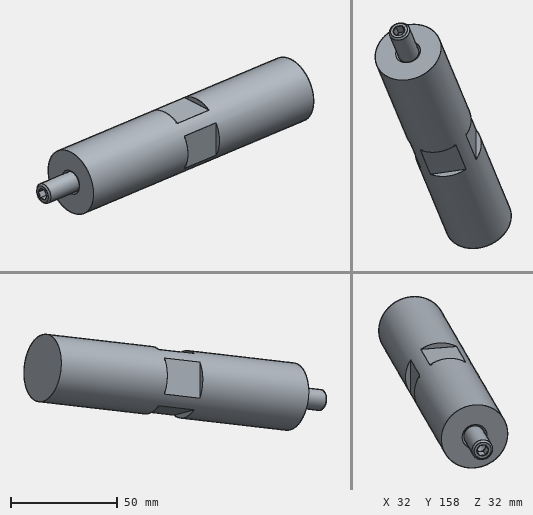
import cadquery as cq
import math

total_length = 158.0
stud_length = 18.0
body_length = total_length - stud_length
body_diameter = 32.0
flat_length = 20.0
across_flats = 27.0
stud_diameter = 10.0
stud_chamfer = 0.87
recess_diameter = 12.0
socket_across_flats = 5.0
socket_depth = 5.0
socket_mouth_diameter = 5.5
socket_corner_diameter = socket_across_flats / math.cos(math.pi / 6)
socket_tip_depth = socket_across_flats / 2 * math.tan(math.radians(30))
recess_depth = (recess_diameter - stud_diameter) / 2


def front_plane(y):
    """Plane facing -Y at the given position; extrusion goes toward -Y."""
    return cq.Workplane("XZ", origin=(0, y, 0))


def cone_along_y(base_radius, tip_radius, height, y):
    """Cone whose base lies at y and which narrows toward +Y."""
    return cq.Workplane(cq.Solid.makeCone(
        base_radius, tip_radius, height, cq.Vector(0, y, 0), cq.Vector(0, 1, 0)))


def make_body():
    body = front_plane(body_length).circle(body_diameter / 2).extrude(body_length)
    kept_square = front_plane(body_length / 2).rect(across_flats, across_flats).extrude(
        flat_length / 2, both=True)
    flat_band = front_plane(body_length / 2).rect(body_diameter * 2, body_diameter * 2).extrude(
        flat_length / 2, both=True)
    body = body.cut(flat_band.cut(kept_square))
    return body.cut(cone_along_y(recess_diameter / 2, stud_diameter / 2, recess_depth, 0))


def make_stud():
    stud = front_plane(recess_depth).circle(stud_diameter / 2).extrude(stud_length + recess_depth)
    return stud.faces("<Y").chamfer(stud_chamfer)


def make_socket():
    """Hexagon socket with a countersunk mouth and a conical drill-point bottom."""
    bottom = socket_depth - stud_length
    hexagon = front_plane(bottom).polygon(6, socket_corner_diameter).extrude(socket_depth)
    drill_point = cone_along_y(socket_across_flats / 2, 0, socket_tip_depth, bottom)
    mouth_radius = socket_mouth_diameter / 2
    mouth = cone_along_y(mouth_radius, 0, mouth_radius, -stud_length)
    return hexagon.union(drill_point).union(mouth)


result = make_body().union(make_stud()).cut(make_socket())